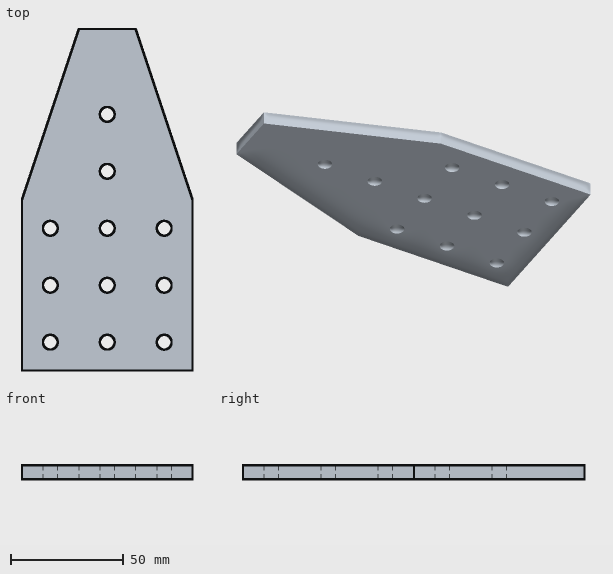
import cadquery as cq

pitch = 25.4
thickness = 6.35
hole_diameter = 6.5

body_width = 3 * pitch
body_length = 3 * pitch
taper_length = 3 * pitch
tip_width = pitch
edge_margin = pitch / 2

grid_columns = 3
grid_rows = 3
center_column_rows = 5


def plate_blank():
    """Flat plate: square body at -Y, tapering to a narrow tip at +Y."""
    half_body = body_width / 2
    half_tip = tip_width / 2
    tip_y = body_length + taper_length
    outline = [
        (-half_body, 0),
        (half_body, 0),
        (half_body, body_length),
        (half_tip, tip_y),
        (-half_tip, tip_y),
        (-half_body, body_length),
    ]
    return cq.Workplane("XY").polyline(outline).close().extrude(thickness)


def hole_centers():
    """Square grid on the body, with the center column continuing into the taper."""
    middle = grid_columns // 2
    centers = []
    for column in range(grid_columns):
        rows = center_column_rows if column == middle else grid_rows
        for row in range(rows):
            centers.append(((column - middle) * pitch, edge_margin + row * pitch))
    return centers


def through_holes():
    """Cylinders that cut the bolt holes through the full thickness."""
    return cq.Workplane("XY").pushPoints(hole_centers()).circle(hole_diameter / 2).extrude(thickness)


result = plate_blank().cut(through_holes())